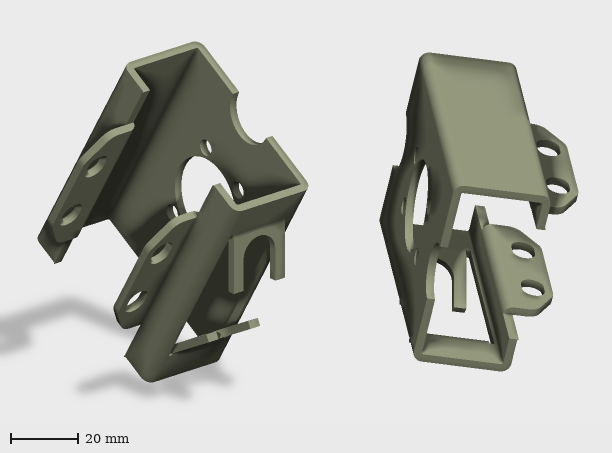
import cadquery as cq
import math

tilt = 31.0
width = 61.0
length = 80.0
channel_depth = 30.0
ear_reach = 14.0
sheet = 2.5
inner_bend = 0.5
outer_bend = inner_bend + sheet

back_y = (channel_depth + ear_reach) / 2
lip_y = back_y - channel_depth
ear_tip_y = lip_y - ear_reach
middle_y = (back_y + lip_y) / 2

lip_width = 11.5
ear_length = 50.0
ear_chamfer_depth = 6.5
ear_chamfer_length = 10.5
ear_corner_radius = 5.0
ear_slot_width = 7.0
ear_slot_length = 9.5
ear_slot_spacing = 22.5
ear_slot_y = -16.0
ear_face_x = width / 2 - lip_width

bore_diameter = 28.0
bolt_hole_diameter = 5.2
bolt_circle_diameter = 35.0
bolt_angles = (60, 120, 240, 300)
end_notch_radius = 9.0

window_length = 56.0
window_width = 23.0
tab_width = 20.0
tab_bend_angle = 31.0
tab_inner_bend = 2.5
tab_straight = 18.0
fork_slot_width = 12.4
fork_straight = 10.0


def both_sides(right_half):
    return right_half.union(right_half.mirror("YZ"))


def formed_half():
    """Right half of the bent sheet: back plate, side wall, front lip and an untrimmed ear."""
    wall_out = width / 2
    wall_in = wall_out - sheet
    diagonal = math.sqrt(0.5)

    def arc(sketch, centre, radius, direction, end):
        """Quarter round about centre, bulging toward the diagonal given by the signs in direction."""
        mid = (centre[0] + direction[0] * radius * diagonal, centre[1] + direction[1] * radius * diagonal)
        return sketch.threePointArc(mid, end)

    bend_x = wall_out - outer_bend
    back_centre = (bend_x, back_y - outer_bend)
    front_centre = (bend_x, lip_y + outer_bend)
    ear_centre = (ear_face_x + inner_bend, lip_y - inner_bend)

    sketch = cq.Workplane("XY").moveTo(0, back_y).lineTo(bend_x, back_y)
    sketch = arc(sketch, back_centre, outer_bend, (1, 1), (wall_out, back_centre[1]))
    sketch = sketch.lineTo(wall_out, front_centre[1])
    sketch = arc(sketch, front_centre, outer_bend, (1, -1), (bend_x, lip_y))
    sketch = sketch.lineTo(ear_centre[0], lip_y)
    sketch = arc(sketch, ear_centre, inner_bend, (-1, 1), (ear_face_x, ear_centre[1]))
    sketch = sketch.lineTo(ear_face_x, ear_tip_y).lineTo(ear_face_x - sheet, ear_tip_y)
    sketch = sketch.lineTo(ear_face_x - sheet, ear_centre[1])
    sketch = arc(sketch, ear_centre, outer_bend, (-1, 1), (ear_centre[0], lip_y + sheet))
    sketch = sketch.lineTo(bend_x, lip_y + sheet)
    sketch = arc(sketch, front_centre, inner_bend, (1, -1), (wall_in, front_centre[1]))
    sketch = sketch.lineTo(wall_in, back_centre[1])
    sketch = arc(sketch, back_centre, inner_bend, (1, 1), (bend_x, back_y - sheet))
    sketch = sketch.lineTo(0, back_y - sheet).close()
    return sketch.extrude(length / 2, both=True)


def ear_blank():
    """Slotted plate with the ear outline, tall enough to cover the bend at its root."""
    root_y = lip_y + sheet
    shoulder_y = ear_tip_y + ear_chamfer_depth
    end_z = ear_length / 2
    tip_z = end_z - ear_chamfer_length
    plate = (
        cq.Workplane("YZ", origin=(ear_face_x - sheet, 0, 0))
        .polyline([
            (root_y, end_z), (shoulder_y, end_z), (ear_tip_y, tip_z),
            (ear_tip_y, -tip_z), (shoulder_y, -end_z), (root_y, -end_z),
        ])
        .close()
        .extrude(sheet)
        .edges("|X").edges("not >Y")
        .fillet(ear_corner_radius)
    )
    slots = (
        cq.Workplane("YZ", origin=(ear_face_x - sheet, 0, 0))
        .pushPoints([(ear_slot_y, side * ear_slot_spacing / 2) for side in (1, -1)])
        .slot2D(ear_slot_length, ear_slot_width, 90)
        .extrude(sheet)
    )
    return plate.cut(slots)


def channel():
    ear_zone = cq.Workplane("XY").box(sheet, lip_y + sheet - ear_tip_y, length, centered=(False, False, True))
    ear_zone = ear_zone.translate((ear_face_x - sheet, ear_tip_y, 0))
    return both_sides(formed_half().cut(ear_zone.cut(ear_blank())))


def back_openings():
    """Bore, bolt holes and round end notches, all through the back plate."""
    bolt_radius = bolt_circle_diameter / 2
    bolt_points = [
        (bolt_radius * math.cos(math.radians(angle)), bolt_radius * math.sin(math.radians(angle)))
        for angle in bolt_angles
    ]
    plate = cq.Workplane("XZ", origin=(0, back_y, 0))
    bore = plate.circle(bore_diameter / 2).extrude(sheet)
    bolt_holes = plate.pushPoints(bolt_points).circle(bolt_hole_diameter / 2).extrude(sheet)
    notches = plate.pushPoints([(0, length / 2), (0, -length / 2)]).circle(end_notch_radius).extrude(sheet)
    return bore.union(bolt_holes).union(notches)


def window():
    return cq.Workplane("XY").box(sheet, window_width, window_length).translate(
        ((width - sheet) / 2, middle_y, 0)
    )


def upper_tab():
    """Tab leaving the top of the window, bent outward, with a U-shaped fork slot open at its tip."""
    root_z = window_length / 2
    centre_x = width / 2 + tab_inner_bend
    outer_radius = tab_inner_bend + sheet
    angle = math.radians(tab_bend_angle)

    def on_bend(radius, turn):
        return (centre_x - radius * math.cos(turn), root_z - radius * math.sin(turn))

    def along_tab(point, distance):
        return (point[0] + distance * math.sin(angle), point[1] - distance * math.cos(angle))

    near_bend_end = on_bend(outer_radius, angle)
    far_bend_end = on_bend(tab_inner_bend, angle)
    tab = (
        cq.Workplane("XZ", origin=(0, middle_y, 0))
        .moveTo(*on_bend(outer_radius, 0))
        .threePointArc(on_bend(outer_radius, angle / 2), near_bend_end)
        .lineTo(*along_tab(near_bend_end, tab_straight))
        .lineTo(*along_tab(far_bend_end, tab_straight))
        .lineTo(*far_bend_end)
        .threePointArc(on_bend(tab_inner_bend, angle / 2), on_bend(tab_inner_bend, 0))
        .close()
        .extrude(tab_width / 2, both=True)
    )

    slot_x, slot_z = along_tab(far_bend_end, tab_straight - fork_straight)
    face = cq.Plane(
        origin=(slot_x, middle_y, slot_z),
        xDir=(math.sin(angle), 0, -math.cos(angle)),
        normal=(-math.cos(angle), 0, -math.sin(angle)),
    )
    round_end = cq.Workplane(face).circle(fork_slot_width / 2).extrude(sheet)
    throat = cq.Workplane(face).center(fork_straight / 2, 0).rect(fork_straight, fork_slot_width).extrude(sheet)
    return tab.cut(round_end).cut(throat)


body = channel().cut(back_openings()).cut(window())
tab = upper_tab()
body = body.union(tab).union(tab.mirror("XY"))
result = body.rotate((0, 0, 0), (0, 1, 0), tilt)